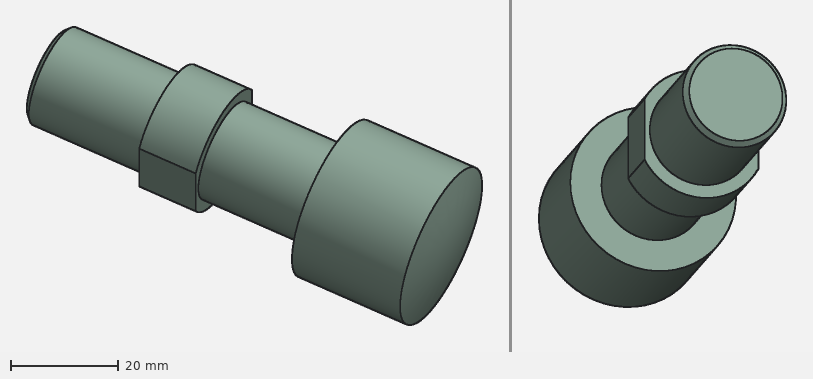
import cadquery as cq
import math

total_length = 85.0
collar_start = 25.0
collar_length = 12.0
head_rim_length = 23.0
tip_chamfer = 1.0

shank_diameter = 20.0
collar_diameter = 25.0
collar_across_flats = 22.0
head_diameter = 32.0
dome_radius = 70.0

head_radius = head_diameter / 2
dome_centre_x = total_length - dome_radius
dome_start = dome_centre_x + math.sqrt(dome_radius**2 - head_radius**2)
head_start = dome_start - head_rim_length


def yz_plane_at(x):
    """Sketch plane facing +X at the given X position, centred on the axis."""
    return cq.Workplane("YZ", origin=(x, 0, 0))


def make_shank():
    """Plain shank, chamfered at its free end."""
    shank = yz_plane_at(0).circle(shank_diameter / 2).extrude(head_start)
    return shank.faces("<X").chamfer(tip_chamfer)


def make_collar():
    """Round collar with two parallel wrench flats facing -Y and +Y."""
    collar = yz_plane_at(collar_start).circle(collar_diameter / 2).extrude(collar_length)
    flats = (
        yz_plane_at(collar_start)
        .rect(collar_across_flats, collar_diameter)
        .extrude(collar_length)
    )
    return collar.intersect(flats)


def make_head():
    """Cylindrical head with a shallow spherical end, revolved about the X axis."""
    arc_middle_y = head_radius / 2
    arc_middle_x = dome_centre_x + math.sqrt(dome_radius**2 - arc_middle_y**2)
    return (
        cq.Workplane("XY")
        .moveTo(head_start, 0)
        .lineTo(head_start, head_radius)
        .lineTo(dome_start, head_radius)
        .threePointArc((arc_middle_x, arc_middle_y), (total_length, 0))
        .close()
        .revolve(360, (0, 0, 0), (1, 0, 0))
    )


result = make_shank().union(make_collar()).union(make_head())